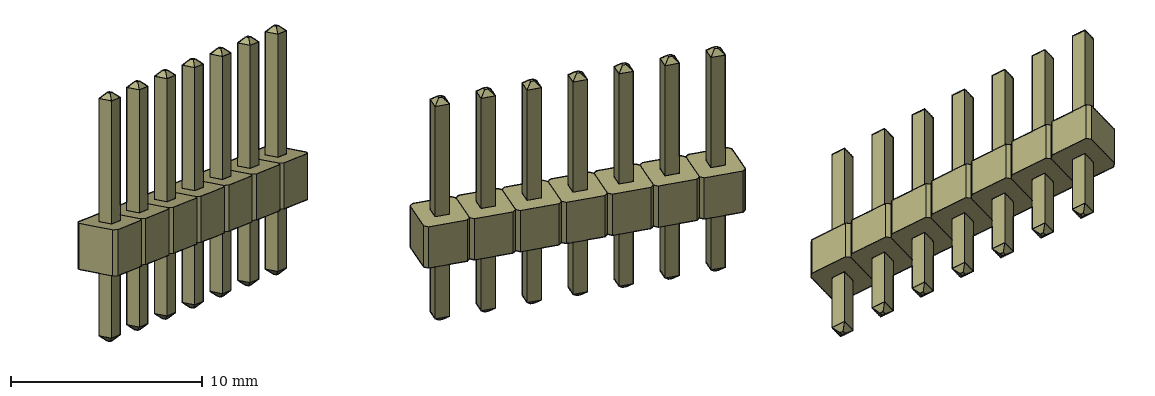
import cadquery as cq

segment_count = 7
row_length = 17.78
pitch = row_length / segment_count

block_width = pitch
block_height = 2.5
block_corner_chamfer = 0.2

pin_width = 0.8
pin_length = 13.5
pin_tip_chamfer = 0.3
pin_length_below_block = 4.0


def make_block():
    """Square block with chamfered vertical edges, resting on Z = 0."""
    return (
        cq.Workplane("XY")
        .box(block_width, block_width, block_height, centered=(True, True, False))
        .edges("|Z")
        .chamfer(block_corner_chamfer)
    )


def make_pin():
    """Square pin with a small flat left at the end of each tapered tip."""
    return (
        cq.Workplane("XY", origin=(0, 0, -pin_length_below_block))
        .box(pin_width, pin_width, pin_length, centered=(True, True, False))
        .faces("<Z or >Z")
        .chamfer(pin_tip_chamfer)
    )


def make_segment(y_center):
    """One segment: block and pin form a single solid."""
    return make_block().union(make_pin()).translate((0, y_center, 0)).solids()


first_center = -(row_length - pitch) / 2
segments = [make_segment(first_center + index * pitch) for index in range(segment_count)]

result = cq.Compound.makeCompound([segment.val() for segment in segments])